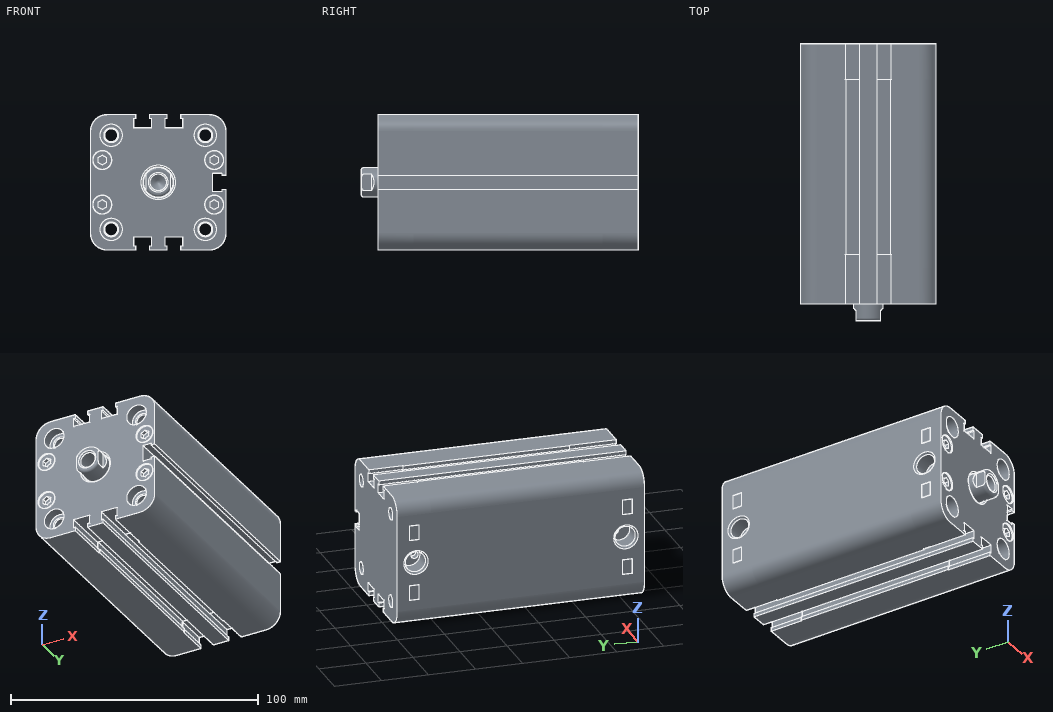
import cadquery as cq
import math


width = 54.8
body_length = 105.2
cap_length = 14.5
corner_radius = 6.8
half_width = width / 2
barrel_length = body_length - 2 * cap_length

slot_offset = 6.4
slot_depth = 5.4
slot_lip = 1.7
slot_opening = 5.7
slot_inner_width = 7.3
barrel_narrowing = 0.35
barrel_floor_rise = 0.1
slot_entry_length = 5.5

mount_offset = 19.0
mount_counterbore_diameter = 9.0
mount_counterbore_depth = 4.7
mount_hole_diameter = 5.2
mount_chamfer_diameter = 6.0

screw_x = 22.6
screw_z = 9.0
screw_pocket_diameter = 7.7
screw_pocket_depth = 4.5
screw_head_diameter = 7.5
screw_head_recess = 0.5
hex_across_flats = 3.4
hex_depth = 2.0

rod_length = 6.8
rod_diameter = 12.0
rod_tip_fillet = 1.1
rod_flats_width = 10.0
rod_flats_length = 4.2
rod_opening_diameter = 12.5
rod_opening_depth = 6.0
rod_opening_chamfer = 0.7
thread_diameter = 6.65
thread_mouth_diameter = 7.9
thread_depth = 12.0
drill_point_angle = 118.0

port_from_end = 8.0
port_diameter = 8.57
port_mouth_diameter = 10.3
port_depth = 8.0
air_hole_from_end = 10.0
air_hole_diameter = 3.0
air_hole_depth = 3.0

label_from_end = 7.3
label_z = 13.0
label_length = 4.1
label_height = 6.3
label_depth = 0.2


def block(start_y, length):
    """Rounded square bar along Y."""
    return (
        cq.Workplane("XZ", origin=(0, start_y, 0))
        .rect(width, width)
        .extrude(-length)
        .edges("|Y")
        .fillet(corner_radius)
    )


def cylinder_y(diameter, start_y, length, x=0.0, z=0.0):
    """Cylinder along +Y."""
    return cq.Workplane("XZ", origin=(x, start_y, z)).circle(diameter / 2).extrude(-length)


def cylinder_x(diameter, depth, y):
    """Cylinder running inward from the -X side."""
    return cq.Workplane("YZ", origin=(-half_width, y, 0)).circle(diameter / 2).extrude(depth)


def t_slot(center, start_y, length, narrowing=0.0, floor_rise=0.0):
    """T-slot cutter open to +Z; narrowing moves only the wall on the -X side."""
    opening_left = center - slot_opening / 2 + narrowing
    opening_right = center + slot_opening / 2
    inner_left = center - slot_inner_width / 2 + narrowing
    inner_right = center + slot_inner_width / 2
    lip_z = half_width - slot_lip
    floor_z = half_width - slot_depth + floor_rise
    outline = [
        (opening_left, half_width),
        (opening_left, lip_z),
        (inner_left, lip_z),
        (inner_left, floor_z),
        (inner_right, floor_z),
        (inner_right, lip_z),
        (opening_right, lip_z),
        (opening_right, half_width),
    ]
    return cq.Workplane("XZ", origin=(0, start_y, 0)).polyline(outline).close().extrude(-length)


def sensor_slot_cutters():
    """Cutters for the full-length slot on the -X side of centre: narrower along most of the barrel."""
    narrow_start = cap_length + slot_entry_length
    rear_cap_start = body_length - cap_length
    front = t_slot(-slot_offset, 0, narrow_start)
    middle = t_slot(
        -slot_offset,
        narrow_start,
        rear_cap_start - narrow_start,
        barrel_narrowing,
        barrel_floor_rise,
    )
    rear = t_slot(-slot_offset, rear_cap_start, cap_length)
    return [front, middle, rear]


def cut_sensor_slots(body):
    """Slot pairs on the top and bottom, and one slot on the +X side."""
    for cutter in sensor_slot_cutters():
        mirrored = cutter.mirror("YZ")
        for slot in (cutter, mirrored):
            body = body.cut(slot, clean=False)
            body = body.cut(slot.mirror("XY"), clean=False)
    side_slot = t_slot(0, 0, body_length).rotate((0, 0, 0), (0, 1, 0), 90)
    return body.cut(side_slot, clean=False)


def cut_mounting_hole(body, x, z):
    """Through hole, counterbored from the front, with its edge in the counterbore chamfered."""
    counterbore = cylinder_y(mount_counterbore_diameter, 0, mount_counterbore_depth, x, z)
    hole = cylinder_y(mount_hole_diameter, 0, body_length, x, z)
    chamfer_depth = (mount_chamfer_diameter - mount_hole_diameter) / 2
    chamfer = (
        cq.Workplane("XZ", origin=(x, mount_counterbore_depth, z))
        .circle(mount_chamfer_diameter / 2)
        .workplane(offset=-chamfer_depth)
        .circle(mount_hole_diameter / 2)
        .loft()
    )
    for cutter in (counterbore, chamfer, hole):
        body = body.cut(cutter, clean=False)
    return body


def add_cap_screw(body, x, z):
    """Socket head screw sunk in a close-fitting pocket."""
    pocket = cylinder_y(screw_pocket_diameter, 0, screw_pocket_depth, x, z)
    head_length = screw_pocket_depth - screw_head_recess
    head = cylinder_y(screw_head_diameter, screw_head_recess, head_length, x, z)
    hex_corner_diameter = hex_across_flats / math.cos(math.radians(30))
    socket = (
        cq.Workplane("XZ", origin=(x, screw_head_recess, z))
        .transformed(rotate=(0, 0, 30))
        .polygon(6, hex_corner_diameter)
        .extrude(-hex_depth)
    )
    return body.cut(pocket, clean=False).union(head.cut(socket), clean=False)


def revolved_about_rod(outline):
    """Revolve an outline of (radius, y) points about the Y axis."""
    return cq.Workplane("XY").polyline(outline).close().revolve(360, (0, 0, 0), (0, 1, 0))


def rod_opening():
    """Hole for the rod, chamfered at the front face."""
    radius = rod_opening_diameter / 2
    return revolved_about_rod([
        (0, 0),
        (radius + rod_opening_chamfer, 0),
        (radius, rod_opening_chamfer),
        (radius, rod_opening_depth),
        (0, rod_opening_depth),
    ])


def piston_rod():
    """Rod end with rounded tip, two wrench flats and a threaded hole."""
    radius = rod_diameter / 2
    tip_y = -rod_length
    rod = cylinder_y(rod_diameter, tip_y, rod_length + rod_opening_depth)
    rod = rod.faces("<Y").edges().fillet(rod_tip_fillet)

    flat_x = rod_flats_width / 2
    flat_end_y = tip_y + rod_flats_length
    flat_cut = (
        cq.Workplane("XY", origin=(0, 0, -radius))
        .polyline([
            (flat_x, tip_y),
            (flat_x, flat_end_y),
            (radius, flat_end_y + radius - flat_x),
            (radius, tip_y),
        ])
        .close()
        .extrude(rod_diameter)
    )
    rod = rod.cut(flat_cut).cut(flat_cut.mirror("YZ"))

    thread_radius = thread_diameter / 2
    mouth_radius = thread_mouth_diameter / 2
    point_length = thread_radius / math.tan(math.radians(drill_point_angle / 2))
    thread = revolved_about_rod([
        (0, tip_y),
        (mouth_radius, tip_y),
        (thread_radius, tip_y + mouth_radius - thread_radius),
        (thread_radius, tip_y + thread_depth - point_length),
        (0, tip_y + thread_depth),
    ])
    return rod.cut(thread)


def position_from_end(distance, at_front):
    """Y position at a distance from the front or rear face."""
    if at_front:
        return distance
    return body_length - distance


def cut_port(body, at_front):
    """Countersunk air port with a small off-centre air hole in its floor."""
    port_y = position_from_end(port_from_end, at_front)
    air_hole_y = position_from_end(air_hole_from_end, at_front)
    mouth_depth = (port_mouth_diameter - port_diameter) / 2
    mouth = (
        cq.Workplane("YZ", origin=(-half_width, port_y, 0))
        .circle(port_mouth_diameter / 2)
        .workplane(offset=mouth_depth)
        .circle(port_diameter / 2)
        .loft()
    )
    port = cylinder_x(port_diameter, port_depth, port_y)
    air_hole = cylinder_x(air_hole_diameter, port_depth + air_hole_depth, air_hole_y)
    for cutter in (mouth, port, air_hole):
        body = body.cut(cutter, clean=False)
    return body


def cut_labels(body, at_front):
    """Pair of shallow rectangular pockets above and below a port."""
    label_y = position_from_end(label_from_end, at_front)
    pockets = (
        cq.Workplane("YZ", origin=(-half_width, label_y, 0))
        .pushPoints([(0, -label_z), (0, label_z)])
        .rect(label_length, label_height)
        .extrude(label_depth)
    )
    return body.cut(pockets, clean=False)


result = block(0, cap_length)
result = result.union(block(cap_length, barrel_length), clean=False)
result = result.union(block(body_length - cap_length, cap_length), clean=False)
result = cut_sensor_slots(result)

for side_x in (-1, 1):
    for side_z in (-1, 1):
        result = cut_mounting_hole(result, side_x * mount_offset, side_z * mount_offset)
        result = add_cap_screw(result, side_x * screw_x, side_z * screw_z)

for front_end in (True, False):
    result = cut_port(result, front_end)
    result = cut_labels(result, front_end)

result = result.cut(rod_opening(), clean=False)
result = result.union(piston_rod(), clean=False)